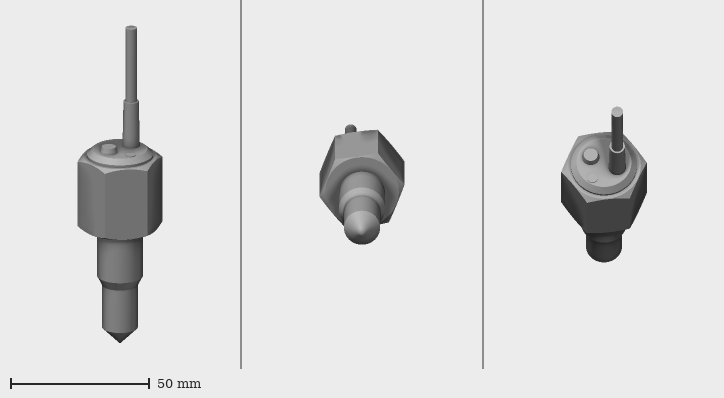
import cadquery as cq
import math

total_height = 120.8

tip_radius = 6.5
tip_height = tip_radius
collar_radius = 8.3
taper_bottom = 23.0
taper_top = 26.5
collar_top = 43.4
neck_radius = 7.6

hex_bottom = 45.1
hex_height = 27.4
hex_top = hex_bottom + hex_height
hex_across_flats = 27.0
hex_corner_radius = hex_across_flats / math.sqrt(3)
hex_face_radius = 13.3
hex_bevel_angle = 30.0
turning_clearance = 1.2

cap_radius = 12.0
cap_face_radius = 9.9
cap_rim_height = 1.0
cap_height = 2.8
cap_top = hex_top + cap_height

fitting_offset = 5.2
fitting_base_radius = 3.1
sleeve_top_radius = 2.8
sleeve_top = 92.6
cable_diameter = 4.2
stud_top_radius = 2.5
stud_height = 2.2

button_x = 7.6
button_y = -1.3
button_radius = 1.8
button_height = 0.4


def revolve_profile(points):
    """Turn an (r, z) outline about the Z axis."""
    return cq.Workplane("XZ").polyline(points).close().revolve(360, (0, 0), (0, 1))


def make_probe():
    return revolve_profile([
        (0, 0),
        (tip_radius, tip_height),
        (tip_radius, taper_bottom),
        (collar_radius, taper_top),
        (collar_radius, collar_top),
        (neck_radius, collar_top),
        (neck_radius, hex_bottom),
        (0, hex_bottom),
    ])


def make_hex_body():
    """Hexagonal prism whose corners are turned off conically at both ends."""
    prism = (
        cq.Workplane("XY", origin=(0, 0, hex_bottom))
        .polygon(6, 2 * hex_corner_radius)
        .extrude(hex_height)
    )
    envelope_radius = hex_corner_radius + turning_clearance
    bevel_height = (envelope_radius - hex_face_radius) * math.tan(math.radians(hex_bevel_angle))
    envelope = revolve_profile([
        (0, hex_bottom),
        (hex_face_radius, hex_bottom),
        (envelope_radius, hex_bottom + bevel_height),
        (envelope_radius, hex_top - bevel_height),
        (hex_face_radius, hex_top),
        (0, hex_top),
    ])
    return prism.intersect(envelope)


def make_cap():
    return revolve_profile([
        (0, hex_top),
        (cap_radius, hex_top),
        (cap_radius, hex_top + cap_rim_height),
        (cap_face_radius, cap_top),
        (0, cap_top),
    ])


def make_tapered_fitting(y, top_radius, top):
    """Cone frustum rising from the cap face to the height top."""
    return revolve_profile([
        (0, cap_top),
        (fitting_base_radius, cap_top),
        (top_radius, top),
        (0, top),
    ]).translate((0, y, 0))


def make_cable():
    return (
        cq.Workplane("XY", origin=(0, fitting_offset, sleeve_top))
        .circle(cable_diameter / 2)
        .extrude(total_height - sleeve_top)
    )


def make_button():
    return (
        cq.Workplane("XY", origin=(button_x, button_y, cap_top))
        .circle(button_radius)
        .extrude(button_height)
    )


result = (
    make_probe()
    .union(make_hex_body())
    .union(make_cap())
    .union(make_tapered_fitting(fitting_offset, sleeve_top_radius, sleeve_top))
    .union(make_tapered_fitting(-fitting_offset, stud_top_radius, cap_top + stud_height))
    .union(make_cable())
    .union(make_button())
)